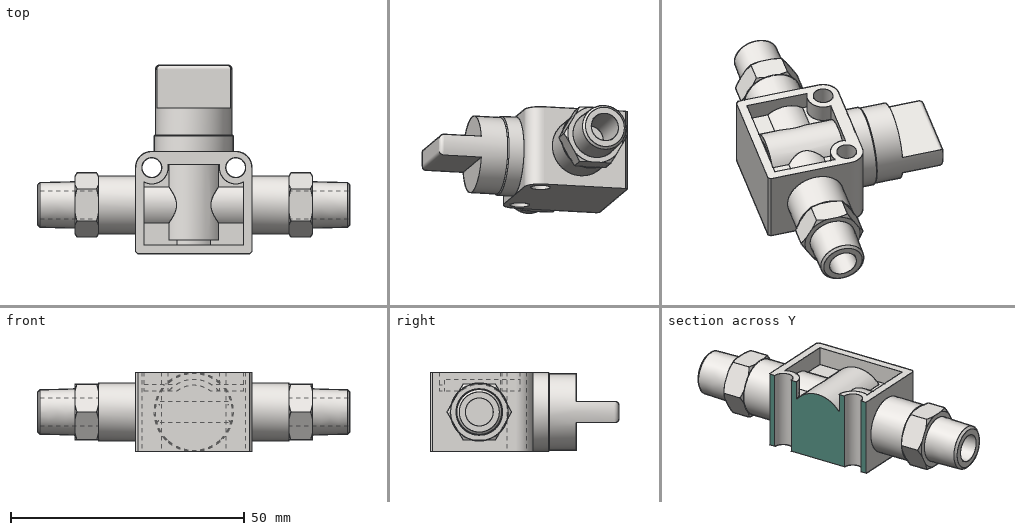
import cadquery as cq
import math


body_width = 25.0
body_height = 17.0
body_front_y = -10.5
body_back_y = 11.5
front_corner_chamfer = 0.5
top_z = body_height / 2

hole_diameter = 4.2
boss_radius = 3.5
hole_x = body_width / 2 - boss_radius
hole_y = body_back_y - boss_radius
hole_centres = [(-hole_x, hole_y), (hole_x, hole_y)]

pocket_half_width = 10.65
pocket_front_y = -8.55
pocket_back_y = 8.7
pocket_depth = 4.0
floor_z = top_z - pocket_depth
barrel_diameter = 14.0
barrel_front_y = -7.5
stub_diameter = 11.5
tube_diameter = 11.9

end_x = 33.5
neck_diameter = 12.5
hex_sides = 6
hex_across_flats = 12.0
hex_inner_x = 20.4
hex_outer_x = 25.5
hex_chamfer_diameter = 12.3
hex_chamfer_angle = 30.0
thread_root_diameter = 10.0
thread_end_diameter = 9.6
thread_end_chamfer = 0.5
bore_diameter = 6.0

collar_diameter = 17.0
collar_end_y = 15.1
collar_chamfer = 0.3
knob_diameter = 16.5
knob_shoulder_y = 20.8
knob_end_y = 30.0
handle_thickness = 4.6
handle_fillet = 0.95


def cylinder_x(diameter, start, end):
    return cq.Workplane("YZ", origin=(start, 0, 0)).circle(diameter / 2).extrude(end - start)


def cylinder_y(diameter, start, end):
    return cq.Workplane("XZ", origin=(0, start, 0)).circle(diameter / 2).extrude(start - end)


def box_between(low, high):
    size = [b - a for a, b in zip(low, high)]
    return cq.Workplane("XY").box(*size, centered=False).translate(low)


def make_body():
    half_width = body_width / 2
    body = box_between((-half_width, body_front_y, -top_z), (half_width, body_back_y, top_z))
    body = body.edges("|Z and >Y").fillet(boss_radius)
    return body.edges("|Z and <Y").chamfer(front_corner_chamfer)


def make_pocket():
    pocket = box_between(
        (-pocket_half_width, pocket_front_y, floor_z),
        (pocket_half_width, pocket_back_y, top_z),
    )
    bosses = (
        cq.Workplane("XY", origin=(0, 0, floor_z))
        .pushPoints(hole_centres)
        .circle(boss_radius)
        .extrude(pocket_depth)
    )
    barrel = cylinder_y(barrel_diameter, barrel_front_y, pocket_back_y)
    stub = cylinder_y(stub_diameter, pocket_front_y, barrel_front_y)
    tubes = cylinder_x(tube_diameter, -pocket_half_width, pocket_half_width)
    return pocket.cut(bosses).cut(barrel).cut(stub).cut(tubes)


def make_fitting():
    """Fitting on the +X side, from the body wall out to the thread end."""
    neck = cylinder_x(neck_diameter, pocket_half_width, hex_inner_x)
    across_corners = hex_across_flats / math.cos(math.pi / hex_sides)
    hexagon = (
        cq.Workplane("YZ", origin=(hex_inner_x, 0, 0))
        .polygon(hex_sides, across_corners)
        .extrude(hex_outer_x - hex_inner_x)
    )
    chamfer_radius = hex_chamfer_diameter / 2
    corner_radius = across_corners / 2
    chamfer_run = (corner_radius - chamfer_radius) * math.tan(math.radians(hex_chamfer_angle))
    hex_envelope = (
        cq.Workplane("XY")
        .moveTo(hex_inner_x, 0)
        .lineTo(hex_inner_x, chamfer_radius)
        .lineTo(hex_inner_x + chamfer_run, corner_radius)
        .lineTo(hex_outer_x - chamfer_run, corner_radius)
        .lineTo(hex_outer_x, chamfer_radius)
        .lineTo(hex_outer_x, 0)
        .close()
        .revolve(360, (0, 0, 0), (1, 0, 0))
    )
    thread = (
        cq.Workplane("XY")
        .moveTo(hex_outer_x, 0)
        .lineTo(hex_outer_x, thread_root_diameter / 2)
        .lineTo(end_x, thread_end_diameter / 2)
        .lineTo(end_x, 0)
        .close()
        .revolve(360, (0, 0, 0), (1, 0, 0))
        .faces(">X")
        .chamfer(thread_end_chamfer)
    )
    bore = cylinder_x(bore_diameter, hex_inner_x, end_x)
    return neck.union(hexagon.intersect(hex_envelope)).union(thread).cut(bore)


def make_knob():
    collar = cylinder_y(collar_diameter, body_back_y, collar_end_y)
    collar = collar.faces(">Y").chamfer(collar_chamfer)
    grip = cylinder_y(knob_diameter, body_back_y, knob_shoulder_y)
    radius = knob_diameter / 2
    slab = box_between(
        (-radius, knob_shoulder_y, -handle_thickness / 2),
        (radius, knob_end_y, handle_thickness / 2),
    )
    handle = cylinder_y(knob_diameter, knob_shoulder_y, knob_end_y).intersect(slab)
    handle = handle.faces(">Y").edges().fillet(handle_fillet)
    return collar.union(grip).union(handle)


def make_holes():
    return (
        cq.Workplane("XY", origin=(0, 0, -top_z))
        .pushPoints(hole_centres)
        .circle(hole_diameter / 2)
        .extrude(body_height)
    )


fitting = make_fitting()
result = (
    make_body()
    .union(fitting)
    .union(fitting.mirror("YZ"))
    .cut(make_pocket())
    .union(make_knob())
    .cut(make_holes())
)